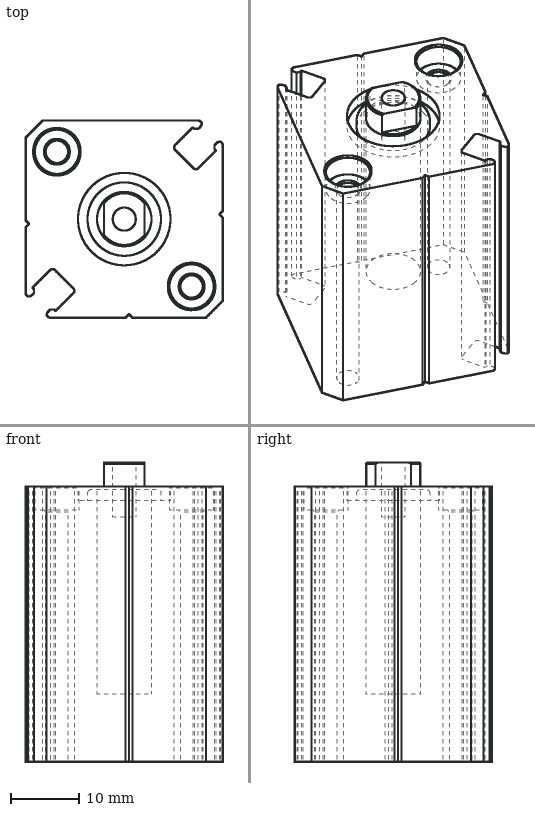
import cadquery as cq
import math

SIDE = 29.0
HOUSING_HEIGHT = 40.5
CORNER_CHAMFER = 2.5
HALF_SIDE = SIDE / 2

ROD_PROTRUSION = 3.5
ROD_DIAMETER = 8.0
ROD_TOP_CHAMFER = 0.2
ROD_BORE_BOTTOM = 10.0
FLAT_WIDTH = 6.0
FLAT_LENGTH = 3.6
TAPPED_HOLE_DIAMETER = 3.4
TAPPED_HOLE_DEPTH = 8.0
ROD_TOP = HOUSING_HEIGHT + ROD_PROTRUSION

RECESS_DIAMETER = 13.6
RECESS_DEPTH = 2.1
COLLAR_DIAMETER = 10.8
COLLAR_HEIGHT = 1.6
COLLAR_ROUND = 0.5

BOLT_CIRCLE_DIAMETER = 28.0
COUNTERBORE_DIAMETER = 6.5
COUNTERBORE_DEPTH = 3.5
COUNTERBORE_CHAMFER = 0.25
BOLT_HOLE_DIAMETER = 3.3
BOLT_HOLE_CHAMFER = 0.25

LIP_THICKNESS = 1.25
LIP_SIDE_END = 10.9
LIP_OUTER_RADIUS = 0.4
LIP_OUTER_BEVEL = 0.22
LIP_INNER_BEVEL = 0.35
LIP_TIP_RISE = 0.18
LIP_TIP_BULGE = 0.05
SLOT_HALF_WIDTH = 2.4
SLOT_FLOOR_DISTANCE = 12.5
SLOT_SHOULDER_DISTANCE = 16.65
SLOT_FLOOR_ROUND = 0.5

GROOVE_OFFSET = 0.7
GROOVE_DEPTH = 0.5


def block():
    """Square block with the two bolt-hole corners chamfered."""
    return (
        cq.Workplane("XY")
        .rect(SIDE, SIDE)
        .extrude(HOUSING_HEIGHT)
        .edges("|Z and (<(1,-1,0) or >(1,-1,0))")
        .chamfer(CORNER_CHAMFER)
    )


def t_slot():
    """Slot in the -X -Y corner: a diagonal channel behind two lips."""
    lip_face = LIP_THICKNESS - HALF_SIDE
    shoulder_middle = -SLOT_SHOULDER_DISTANCE / math.sqrt(2)
    lip_root = 2 * shoulder_middle - lip_face
    channel_length = SLOT_SHOULDER_DISTANCE - SLOT_FLOOR_DISTANCE
    channel = (
        cq.Workplane("XY")
        .center(-SLOT_FLOOR_DISTANCE - channel_length / 2, 0)
        .rect(channel_length, 2 * SLOT_HALF_WIDTH)
        .extrude(HOUSING_HEIGHT)
        .edges("|Z and >X")
        .fillet(SLOT_FLOOR_ROUND)
        .rotate((0, 0, 0), (0, 0, 1), 45)
    )
    round_center_x = LIP_OUTER_RADIUS - HALF_SIDE
    round_points = [
        (
            round_center_x - LIP_OUTER_RADIUS * math.cos(math.radians(angle)),
            -LIP_SIDE_END - LIP_OUTER_RADIUS * math.sin(math.radians(angle)),
        )
        for angle in (22.5, 45)
    ]
    bevel_end = (round_points[1][0] + LIP_OUTER_BEVEL, round_points[1][1] - LIP_OUTER_BEVEL)
    tip_end = (lip_face - LIP_INNER_BEVEL, bevel_end[1] + LIP_TIP_RISE)
    half_opening = (
        cq.Workplane("XY")
        .moveTo(-HALF_SIDE, -HALF_SIDE)
        .lineTo(-HALF_SIDE, -LIP_SIDE_END)
        .threePointArc(*round_points)
        .lineTo(*bevel_end)
        .sagittaArc(tip_end, -LIP_TIP_BULGE)
        .line(LIP_INNER_BEVEL, LIP_INNER_BEVEL)
        .lineTo(lip_face, lip_root)
        .lineTo(shoulder_middle, shoulder_middle)
        .close()
        .extrude(HOUSING_HEIGHT)
    )
    opening = half_opening.union(half_opening.mirror(cq.Vector(1, -1, 0)))
    return channel.union(opening)


def v_groove(angle):
    """Groove along Z in the -Y face, turned about Z to another face."""
    return (
        cq.Workplane("XY")
        .polyline([
            (GROOVE_OFFSET - GROOVE_DEPTH, -HALF_SIDE),
            (GROOVE_OFFSET, GROOVE_DEPTH - HALF_SIDE),
            (GROOVE_OFFSET + GROOVE_DEPTH, -HALF_SIDE),
        ])
        .close()
        .extrude(HOUSING_HEIGHT)
        .rotate((0, 0, 0), (0, 0, 1), angle)
    )


def bore_profile(radius, chamfer, depth, top):
    """Cutter for a chamfered hole that opens upward at the height top."""
    return (
        cq.Workplane("XZ")
        .polyline([
            (0, top),
            (radius + chamfer, top),
            (radius, top - chamfer),
            (radius, top - depth),
            (0, top - depth),
        ])
        .close()
        .revolve(360, (0, 0, 0), (0, 1, 0))
    )


def bolt_hole(x, y):
    """Counterbored through hole."""
    seat = HOUSING_HEIGHT - COUNTERBORE_DEPTH
    counterbore = bore_profile(
        COUNTERBORE_DIAMETER / 2, COUNTERBORE_CHAMFER, COUNTERBORE_DEPTH, HOUSING_HEIGHT
    )
    through_hole = bore_profile(BOLT_HOLE_DIAMETER / 2, BOLT_HOLE_CHAMFER, seat, seat)
    return counterbore.union(through_hole).translate((x, y, 0))


def rod_recess():
    """Ring-shaped recess that leaves a rounded collar around the rod."""
    floor = HOUSING_HEIGHT - RECESS_DEPTH
    recess = (
        cq.Workplane("XY")
        .workplane(offset=floor)
        .circle(RECESS_DIAMETER / 2)
        .extrude(RECESS_DEPTH)
    )
    collar = (
        cq.Workplane("XY")
        .workplane(offset=floor)
        .circle(COLLAR_DIAMETER / 2)
        .extrude(COLLAR_HEIGHT)
        .faces(">Z")
        .edges()
        .fillet(COLLAR_ROUND)
    )
    return recess.cut(collar)


def rod_bore():
    """Blind bore that the rod fills."""
    return (
        cq.Workplane("XY")
        .workplane(offset=ROD_BORE_BOTTOM)
        .circle(ROD_DIAMETER / 2)
        .extrude(HOUSING_HEIGHT - ROD_BORE_BOTTOM)
    )


def make_housing():
    body = block().cut(rod_recess()).cut(rod_bore())
    for angle in (0, 180):
        body = body.cut(t_slot().rotate((0, 0, 0), (0, 0, 1), angle))
    bolt_offset = BOLT_CIRCLE_DIAMETER / 2 / math.sqrt(2)
    for side in (-1, 1):
        body = body.cut(bolt_hole(side * bolt_offset, -side * bolt_offset))
    for angle in (-90, 0, 90):
        body = body.cut(v_groove(angle))
    return body


def make_rod():
    """Round rod with two wrench flats and a threaded-end hole."""
    rod = (
        cq.Workplane("XY")
        .workplane(offset=ROD_BORE_BOTTOM)
        .circle(ROD_DIAMETER / 2)
        .extrude(ROD_TOP - ROD_BORE_BOTTOM)
        .faces(">Z")
        .chamfer(ROD_TOP_CHAMFER)
    )
    flat_cutter = (
        cq.Workplane("XY")
        .workplane(offset=ROD_TOP - FLAT_LENGTH)
        .rect(2 * ROD_DIAMETER, 2 * ROD_DIAMETER)
        .rect(FLAT_WIDTH, 2 * ROD_DIAMETER)
        .extrude(FLAT_LENGTH)
    )
    return rod.cut(flat_cutter).faces(">Z").workplane().hole(TAPPED_HOLE_DIAMETER, TAPPED_HOLE_DEPTH)


housing = make_housing()
rod = make_rod()
result = cq.Compound.makeCompound([housing.val(), rod.val()])